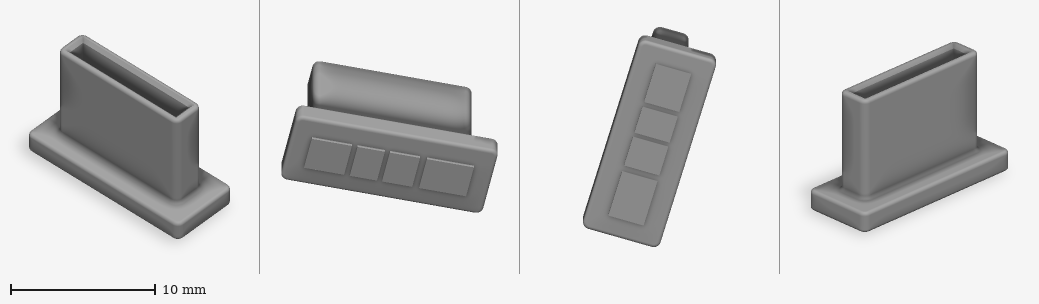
import cadquery as cq

base_length = 14.33
base_width = 5.59
base_thickness = 1.56

tower_length = 11.28
tower_width = 2.55
tower_height = 7.62

corner_radius = 0.5
edge_radius = corner_radius / 2

cavity_length = 9.97
cavity_width = 1.35
cavity_depth = tower_height
mouth_chamfer = 0.26

pad_height = 0.21
pad_width = tower_width
pads = [(-4.04, 3.34), (-0.82, 2.15), (1.58, 1.93), (4.37, 2.85)]

tower_top = base_thickness + tower_height


def rounded_block(length, width, height):
    """Block resting on Z = 0 with rounded vertical edges."""
    return (
        cq.Workplane("XY")
        .box(length, width, height, centered=(True, True, False))
        .edges("|Z")
        .fillet(corner_radius)
    )


def make_base():
    base = rounded_block(base_length, base_width, base_thickness)
    return base.faces("<Z or >Z").edges().fillet(edge_radius)


def make_tower():
    tower = rounded_block(tower_length, tower_width, tower_height)
    tower = tower.faces(">Z").edges().fillet(edge_radius)
    return tower.translate((0, 0, base_thickness))


def blend_tower_foot(body):
    """Concave fillet where the tower meets the top of the base."""
    half_length = tower_length / 2 + edge_radius
    half_width = tower_width / 2 + edge_radius
    foot_zone = cq.selectors.BoxSelector(
        (-half_length, -half_width, base_thickness - edge_radius / 2),
        (half_length, half_width, base_thickness + edge_radius / 2),
    )
    return body.edges(foot_zone).fillet(edge_radius)


def make_cavity():
    """Rectangular cavity with a mouth flared at 45 degrees."""
    cavity = (
        cq.Workplane("XY")
        .workplane(offset=tower_top)
        .rect(cavity_length, cavity_width)
        .extrude(-cavity_depth)
    )
    mouth = (
        cq.Workplane("XY")
        .workplane(offset=tower_top - mouth_chamfer)
        .rect(cavity_length, cavity_width)
        .workplane(offset=mouth_chamfer)
        .rect(cavity_length + 2 * mouth_chamfer, cavity_width + 2 * mouth_chamfer)
        .loft(ruled=True)
    )
    return cavity.union(mouth)


def make_pad(centre_x, length):
    """Plain rectangular pad below the base."""
    return (
        cq.Workplane("XY")
        .center(centre_x, 0)
        .rect(length, pad_width)
        .extrude(-pad_height)
    )


body = blend_tower_foot(make_base().union(make_tower()))
body = body.cut(make_cavity())
for centre_x, length in pads:
    body = body.union(make_pad(centre_x, length))

result = body